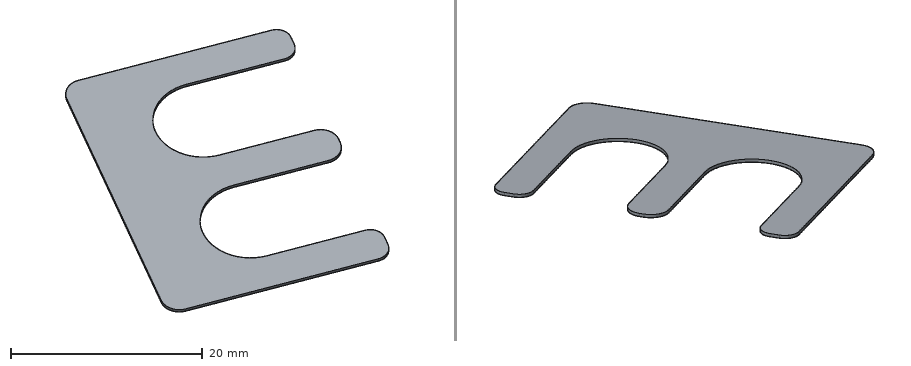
import cadquery as cq

length = 34.0
depth = 25.0
thickness = 0.37
base_corner_radius = 2.0

slot_width = 10.5
slot_spacing = 15.0
web_below_slots = 7.25

outer_tip_radius = 1.6
middle_tip_radius = 2.0

slot_radius = slot_width / 2
slot_centre_y = web_below_slots + slot_radius
slot_centres_x = (-slot_spacing / 2, slot_spacing / 2)
half_middle_finger = slot_spacing / 2 - slot_radius

margin = 0.35


def make_plate():
    """Flat plate with its base edge on y = 0, centred on x = 0."""
    plate = cq.Workplane("XY").box(length, depth, thickness, centered=(True, False, False))
    return plate.edges("|Z and <Y").fillet(base_corner_radius)


def make_slot(centre_x):
    """Round-bottomed slot running out through the finger-tip edge."""
    return (
        cq.Workplane("XY")
        .moveTo(centre_x - slot_radius, depth)
        .lineTo(centre_x - slot_radius, slot_centre_y)
        .threePointArc((centre_x, web_below_slots), (centre_x + slot_radius, slot_centre_y))
        .lineTo(centre_x + slot_radius, depth)
        .close()
        .extrude(thickness)
    )


def round_tips(body):
    """Round the vertical corners of the middle finger, then of the outer fingers."""
    middle_corners = cq.selectors.BoxSelector(
        (-half_middle_finger - margin, depth - margin, -margin),
        (half_middle_finger + margin, depth + margin, thickness + margin),
    )
    body = body.edges("|Z").edges(middle_corners).fillet(middle_tip_radius)
    outer_corners = cq.selectors.BoxSelector(
        (-length, depth - margin, -margin), (-slot_spacing / 2, depth + margin, thickness + margin)
    ) + cq.selectors.BoxSelector(
        (slot_spacing / 2, depth - margin, -margin), (length, depth + margin, thickness + margin)
    )
    return body.edges("|Z").edges(outer_corners).fillet(outer_tip_radius)


body = make_plate()
for centre_x in slot_centres_x:
    body = body.cut(make_slot(centre_x))
result = round_tips(body)